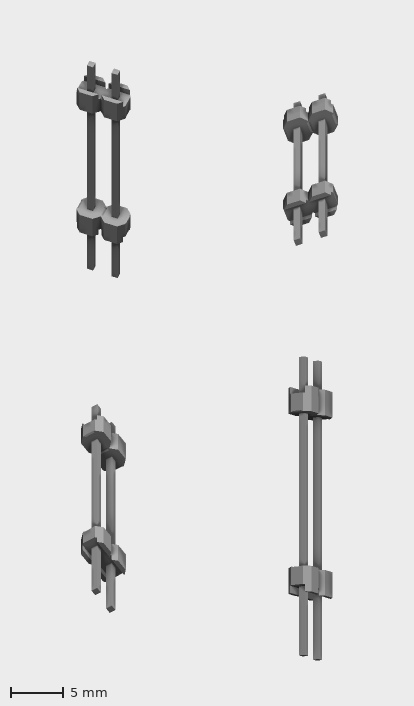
import cadquery as cq

pin_count = 2
pin_length = 29.0
pin_width = 0.65

housing_length = 5.08
housing_depth = 2.55
housing_height = 2.5
pitch = housing_length / pin_count
cell_flat = 1.33

channel_width = 1.65
channel_depth = 0.7

notch_length = 1.05
notch_width = 0.35
notch_depth = 0.1

pin_end_above_housing = 3.0
pin_end_below_housing = 6.0
upper_flat_z = pin_length - pin_end_above_housing - housing_height
lower_flat_z = pin_end_below_housing + housing_height

pin_positions = [(i - (pin_count - 1) / 2) * pitch for i in range(pin_count)]
cell_boundaries = [(i - pin_count / 2) * pitch for i in range(pin_count + 1)]


def cell(x):
    """Eight-sided block around the pin at x, standing on z = 0."""
    half_x = pitch / 2
    half_y = housing_depth / 2
    half_flat = cell_flat / 2
    outline = [
        (half_x, -half_flat),
        (half_x, half_flat),
        (half_flat, half_y),
        (-half_flat, half_y),
        (-half_x, half_flat),
        (-half_x, -half_flat),
        (-half_flat, -half_y),
        (half_flat, -half_y),
    ]
    block = cq.Workplane("XY").polyline(outline).close().extrude(housing_height)
    return block.translate((x, 0, 0))


def channel():
    """Cutter for the channel in the face at z = housing_height."""
    return (
        cq.Workplane("XY")
        .box(housing_length, channel_width, channel_depth, centered=(True, True, False))
        .translate((0, 0, housing_height - channel_depth))
    )


def notch(x):
    """Triangular cutter running along Y, with its mouth on the flat face at z = 0."""
    profile = [(-notch_width / 2, 0), (0, notch_depth), (notch_width / 2, 0)]
    cutter = cq.Workplane("XZ").polyline(profile).close().extrude(notch_length / 2, both=True)
    return cutter.translate((x, 0, 0))


def housing():
    """Row of joined cells with the flat face at z = 0 and the channel opposite."""
    body = cell(pin_positions[0])
    for x in pin_positions[1:]:
        body = body.union(cell(x))
    body = body.cut(channel())
    for x in cell_boundaries:
        body = body.cut(notch(x))
    return body


def pin(x):
    """Square post standing on z = 0."""
    return (
        cq.Workplane("XY")
        .box(pin_width, pin_width, pin_length, centered=(True, True, False))
        .translate((x, 0, 0))
    )


upper_housing = housing().translate((0, 0, upper_flat_z))
lower_housing = housing().mirror("XY").translate((0, 0, lower_flat_z))

assembly = upper_housing.union(lower_housing)
for pin_x in pin_positions:
    assembly = assembly.union(pin(pin_x))
result = assembly